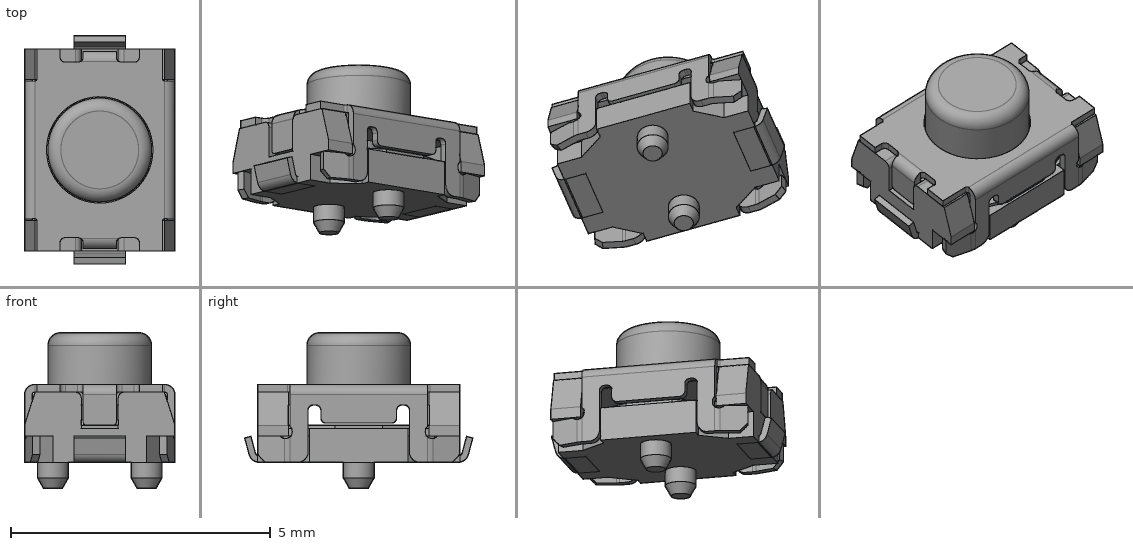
import cadquery as cq
import math


LENGTH = 4.4
WIDTH = 2.9
HALF_BODY = 1.95
COVER_TOP = 1.5
PLUNGER_TOP = 2.5
HALF_LENGTH = LENGTH / 2
HALF_WIDTH = WIDTH / 2

SHEET = 0.15
BEND_RADIUS = 0.2
PLUNGER_HOLE_DIA = 2.05
FLAP_HALF_LENGTH = 1.33
CORNER_HALF_WIDTH = 1.21
CORNER_FILLET = 0.04
NOTCH_HALF_WIDTH = 0.765
NOTCH_START = 1.69
SHEET_FILLET = 0.1
TAB_HALF_WIDTH = 0.325
TAB_FACE = 1.9
TAB_BOTTOM = 0.71
TAB_FILLET = 0.075
LEG_INNER = 0.975
LEG_FILLET = 0.2
LIP_HALF_LENGTH = 0.73
LIP_BOTTOM = 0.752
SLOT_TOP = 1.1
FOOT_ANGLE = 15.0
FOOT_BEND_RADIUS = 0.4
FOOT_CHAMFER = 0.15
RELIEF_RADIUS = 0.13
RELIEF_Y = 1.412
RELIEF_Z = 0.59

HOUSING_TOP = COVER_TOP - SHEET
HOUSING_TOP_HALF_WIDTH = 1.25
SLOPE_START = 0.71
POST_INNER = 1.355
FLOOR = 0.65
POST_BOTTOM = 0.5
SIDE_BLOCK_HALF_LENGTH = 0.95
END_BLOCK_HALF_WIDTH = 0.9
TAPER_END = 1.455
END_SLOT_HALF_WIDTH = 0.355
END_SLOT_FILLET = 0.115

PIN_DIA = 0.6
PIN_LENGTH = 0.5
PIN_X = 0.9
PIN_CHAMFER_WIDTH = 0.115
PIN_CHAMFER_HEIGHT = 0.202

PLUNGER_DIA = 2.0
PLUNGER_FILLET = 0.25
FLANGE_BOTTOM = SLOT_TOP
STEM_DIA = 0.8
STEM_BOTTOM = 0.815

PLATE_TOP = 0.715
PLATE_HALF_WIDTH = 1.4
PLATE_FLAT_HALF_LENGTH = 0.458
PLATE_CORNER_ANGLE = 22.5

TERMINAL_THICKNESS = 0.128
TERMINAL_WIDTH = 1.0
TERMINAL_HEIGHT = 0.5
TERMINAL_LEAN = 15.0
TERMINAL_BEND_RADIUS = 0.2
TERMINAL_DEPTH = 0.44


def box(x_min, x_max, y_min, y_max, z_min, z_max):
    size = (x_max - x_min, y_max - y_min, z_max - z_min)
    return cq.Workplane("XY").box(*size, centered=False).translate((x_min, y_min, z_min))


def centred_box(half_x, half_y, z_min, z_max):
    return box(-half_x, half_x, -half_y, half_y, z_min, z_max)


def box_selector(half_x, half_y, z):
    """Selects what is centred within the half sizes, at height z."""
    margin = 0.005
    low = (-half_x - margin, -half_y - margin, z - margin)
    high = (half_x + margin, half_y + margin, z + margin)
    return cq.selectors.BoxSelector(low, high)


def with_mirror_image(shape, plane):
    """The shape joined with its mirror image."""
    return shape.union(shape.mirror(plane))


def on_circle(centre, radius, degrees):
    angle = math.radians(degrees)
    return (centre[0] + radius * math.cos(angle), centre[1] + radius * math.sin(angle))


def terminal_profile():
    """Y-Z outline: a flat tail, a bend, and a blade that leans outwards."""
    lean = math.radians(TERMINAL_LEAN)
    inner_radius = TERMINAL_BEND_RADIUS - TERMINAL_THICKNESS
    blade = (TERMINAL_HEIGHT - TERMINAL_BEND_RADIUS + inner_radius * math.sin(lean)) / math.cos(lean)
    bend_y = HALF_LENGTH - TERMINAL_BEND_RADIUS * math.cos(lean) - blade * math.sin(lean)
    centre = (bend_y, TERMINAL_BEND_RADIUS)
    middle = -(90 + TERMINAL_LEAN) / 2
    outer_end = on_circle(centre, TERMINAL_BEND_RADIUS, -TERMINAL_LEAN)
    inner_end = on_circle(centre, inner_radius, -TERMINAL_LEAN)
    rise = (blade * math.sin(lean), blade * math.cos(lean))
    tail_y = HALF_BODY - TERMINAL_DEPTH
    return (
        cq.Workplane("YZ")
        .moveTo(tail_y, 0)
        .lineTo(bend_y, 0)
        .threePointArc(on_circle(centre, TERMINAL_BEND_RADIUS, middle), outer_end)
        .lineTo(outer_end[0] + rise[0], outer_end[1] + rise[1])
        .lineTo(inner_end[0] + rise[0], inner_end[1] + rise[1])
        .lineTo(*inner_end)
        .threePointArc(on_circle(centre, inner_radius, middle), (bend_y, TERMINAL_THICKNESS))
        .lineTo(tail_y, TERMINAL_THICKNESS)
        .close()
    )


def make_terminal(turn):
    blade = terminal_profile().extrude(TERMINAL_WIDTH / 2, both=True)
    return blade.rotate((0, 0, 0), (0, 0, 1), turn)


def end_posts():
    """End wall whose two outer sides lean inwards, split by the slot for the cover tab."""
    wall = (
        cq.Workplane("XZ", origin=(0, HALF_BODY, 0))
        .moveTo(-HALF_WIDTH, POST_BOTTOM)
        .lineTo(HALF_WIDTH, POST_BOTTOM)
        .lineTo(HALF_WIDTH, SLOPE_START)
        .lineTo(HOUSING_TOP_HALF_WIDTH, HOUSING_TOP)
        .lineTo(-HOUSING_TOP_HALF_WIDTH, HOUSING_TOP)
        .lineTo(-HALF_WIDTH, SLOPE_START)
        .close()
        .extrude(HALF_BODY - POST_INNER)
    )
    slot = box(-END_SLOT_HALF_WIDTH, END_SLOT_HALF_WIDTH, POST_INNER, HALF_BODY, FLOOR, HOUSING_TOP)
    mouth = box_selector(END_SLOT_HALF_WIDTH, HALF_BODY, HOUSING_TOP)
    return wall.cut(slot).edges("|Y").edges(mouth).fillet(END_SLOT_FILLET)


def housing_foundation():
    """Part below the corner posts: it tapers in plan from the floor width to the end blocks."""
    corner = [
        (0, 0),
        (HOUSING_TOP_HALF_WIDTH, 0),
        (HOUSING_TOP_HALF_WIDTH, SIDE_BLOCK_HALF_LENGTH),
        (END_BLOCK_HALF_WIDTH, TAPER_END),
        (END_BLOCK_HALF_WIDTH, HALF_BODY),
        (0, HALF_BODY),
    ]
    quarter = cq.Workplane("XY").polyline(corner).close().extrude(POST_BOTTOM)
    return with_mirror_image(with_mirror_image(quarter, "YZ"), "XZ")


def locating_pin(x):
    radius = PIN_DIA / 2
    profile = [
        (0, 0),
        (radius, 0),
        (radius, PIN_CHAMFER_HEIGHT - PIN_LENGTH),
        (radius - PIN_CHAMFER_WIDTH, -PIN_LENGTH),
        (0, -PIN_LENGTH),
    ]
    return cq.Workplane("XZ").polyline(profile).close().revolve(360, (0, 0), (0, 1)).translate((x, 0, 0))


def make_housing(terminals):
    floor = centred_box(HOUSING_TOP_HALF_WIDTH, POST_INNER, POST_BOTTOM, FLOOR)
    side_blocks = centred_box(HALF_WIDTH, SIDE_BLOCK_HALF_LENGTH, 0, FLOOR)
    body = housing_foundation().union(floor).union(side_blocks)
    body = body.union(with_mirror_image(end_posts(), "XZ"))
    for x in (-PIN_X, PIN_X):
        body = body.union(locating_pin(x))
    for terminal in terminals:
        body = body.cut(terminal)
    return body


def folded_strip(plane, half_span, bottom, half_width):
    """Flat top strip with both ends folded down, bent round the given span."""
    outer = (
        cq.Workplane(plane)
        .rect(2 * half_span, 2 * COVER_TOP)
        .extrude(half_width, both=True)
    )
    fold_axis = "|Y" if plane == "XZ" else "|X"
    outer = outer.edges(fold_axis).edges(">Z").fillet(BEND_RADIUS)
    inner = (
        cq.Workplane(plane)
        .rect(2 * (half_span - SHEET), 2 * HOUSING_TOP)
        .extrude(half_width, both=True)
    )
    inner = inner.edges(fold_axis).edges(">Z").fillet(BEND_RADIUS - SHEET)
    below = centred_box(HALF_LENGTH, HALF_LENGTH, -COVER_TOP, bottom)
    return outer.cut(inner).cut(below)


def top_plate():
    """Flat ends of the cover, with the notches that leave room for the end tabs."""
    plate = centred_box(CORNER_HALF_WIDTH, HALF_BODY, HOUSING_TOP, COVER_TOP)
    notch = box(-NOTCH_HALF_WIDTH, NOTCH_HALF_WIDTH, NOTCH_START, HALF_LENGTH, HOUSING_TOP, COVER_TOP)
    notch = notch.edges("|Z and <Y").fillet(SHEET_FILLET)
    return plate.cut(with_mirror_image(notch, "XZ"))


def corner_gusset():
    """Small concave fillet between a side flap end and the edge of the top plate."""
    x = CORNER_HALF_WIDTH
    y = FLAP_HALF_LENGTH
    r = CORNER_FILLET
    arc_middle = on_circle((x + r, y + r), r, 225)
    return (
        cq.Workplane("XY", origin=(0, 0, HOUSING_TOP))
        .moveTo(x, y)
        .lineTo(x + r, y)
        .threePointArc(arc_middle, (x, y + r))
        .close()
        .extrude(SHEET)
    )


def side_flaps():
    """Side flaps, each opened up into a hanging lip between two legs."""
    flaps = folded_strip("XZ", HALF_WIDTH, 0, FLAP_HALF_LENGTH)
    opening = (
        cq.Workplane("YZ")
        .moveTo(-LEG_INNER, 0)
        .lineTo(-LEG_INNER, SLOT_TOP)
        .lineTo(-LIP_HALF_LENGTH, SLOT_TOP)
        .lineTo(-LIP_HALF_LENGTH, LIP_BOTTOM)
        .lineTo(LIP_HALF_LENGTH, LIP_BOTTOM)
        .lineTo(LIP_HALF_LENGTH, SLOT_TOP)
        .lineTo(LEG_INNER, SLOT_TOP)
        .lineTo(LEG_INNER, 0)
        .close()
        .extrude(HALF_WIDTH, both=True)
    )
    opening = opening.edges("|X").edges("not <Z").fillet(SHEET_FILLET)
    flaps = flaps.cut(opening)
    leg_corners = box_selector(HALF_WIDTH, LEG_INNER, 0)
    return flaps.edges("|X").edges(leg_corners).fillet(LEG_FILLET)


def foot():
    """Foot beside a leg: bent inwards in plan, its lower outer corner chamfered."""
    centre = (HALF_WIDTH - FOOT_BEND_RADIUS, FLAP_HALF_LENGTH)
    inner_radius = FOOT_BEND_RADIUS - SHEET
    outer_bend = on_circle(centre, FOOT_BEND_RADIUS, FOOT_ANGLE)
    inner_bend = on_circle(centre, inner_radius, FOOT_ANGLE)
    inner_root = (HALF_WIDTH - SHEET, FLAP_HALF_LENGTH)
    bend = math.radians(FOOT_ANGLE)
    tip_outer = (outer_bend[0] - math.tan(bend) * (HALF_BODY - outer_bend[1]), HALF_BODY)
    tip_inner = (tip_outer[0] - SHEET * math.cos(bend), tip_outer[1] - SHEET * math.sin(bend))
    outline = (
        cq.Workplane("XY")
        .moveTo(HALF_WIDTH, FLAP_HALF_LENGTH)
        .threePointArc(on_circle(centre, FOOT_BEND_RADIUS, FOOT_ANGLE / 2), outer_bend)
        .lineTo(*tip_outer)
        .lineTo(*tip_inner)
        .lineTo(*inner_bend)
        .threePointArc(on_circle(centre, inner_radius, FOOT_ANGLE / 2), inner_root)
        .close()
    )
    return outline.extrude(POST_BOTTOM).faces(">Y").edges("<Z").chamfer(FOOT_CHAMFER)


def end_tabs():
    """Tabs folded down at both ends, flared where they leave the top plate."""
    flared_half_width = TAB_HALF_WIDTH + SHEET_FILLET
    tabs = folded_strip("YZ", TAB_FACE, TAB_BOTTOM, flared_half_width)
    tabs = tabs.cut(centred_box(flared_half_width, NOTCH_START, 0, COVER_TOP))
    trim = (
        cq.Workplane("XY")
        .moveTo(NOTCH_HALF_WIDTH, NOTCH_START)
        .lineTo(flared_half_width, NOTCH_START)
        .tangentArcPoint((TAB_HALF_WIDTH, TAB_FACE - SHEET), relative=False)
        .lineTo(TAB_HALF_WIDTH, HALF_LENGTH)
        .lineTo(NOTCH_HALF_WIDTH, HALF_LENGTH)
        .close()
        .extrude(COVER_TOP)
    )
    tabs = tabs.cut(with_mirror_image(with_mirror_image(trim, "YZ"), "XZ"))
    return tabs.edges("|Y").edges("<Z").fillet(TAB_FILLET)


def make_cover():
    cover = side_flaps().union(top_plate()).union(end_tabs())
    corner = corner_gusset().union(foot())
    cover = cover.union(with_mirror_image(with_mirror_image(corner, "YZ"), "XZ"))
    relief = (
        cq.Workplane("YZ")
        .pushPoints([(-RELIEF_Y, RELIEF_Z), (RELIEF_Y, RELIEF_Z)])
        .circle(RELIEF_RADIUS)
        .extrude(HALF_WIDTH, both=True)
    )
    plunger_hole = cq.Workplane("XY").circle(PLUNGER_HOLE_DIA / 2).extrude(COVER_TOP)
    hole_slice = plunger_hole.intersect(centred_box(HALF_WIDTH, HALF_BODY, HOUSING_TOP, COVER_TOP))
    return cover.cut(relief).cut(hole_slice)


def make_plunger():
    """Round button on a flange that is held under the cover, with a stem that presses downwards."""
    flange = centred_box(HOUSING_TOP_HALF_WIDTH, POST_INNER, FLANGE_BOTTOM, HOUSING_TOP)
    button = (
        cq.Workplane("XY", origin=(0, 0, FLANGE_BOTTOM))
        .circle(PLUNGER_DIA / 2)
        .extrude(PLUNGER_TOP - FLANGE_BOTTOM)
        .faces(">Z")
        .edges()
        .fillet(PLUNGER_FILLET)
    )
    stem = (
        cq.Workplane("XY", origin=(0, 0, STEM_BOTTOM))
        .circle(STEM_DIA / 2)
        .extrude(FLANGE_BOTTOM - STEM_BOTTOM)
    )
    return flange.union(button).union(stem)


def make_contact_plate():
    """Thin eight-sided plate lying on the housing floor."""
    taper = math.tan(math.radians(PLATE_CORNER_ANGLE)) * (POST_INNER - PLATE_FLAT_HALF_LENGTH)
    end_half_width = PLATE_HALF_WIDTH - taper
    half = [
        (0, -POST_INNER),
        (end_half_width, -POST_INNER),
        (PLATE_HALF_WIDTH, -PLATE_FLAT_HALF_LENGTH),
        (PLATE_HALF_WIDTH, PLATE_FLAT_HALF_LENGTH),
        (end_half_width, POST_INNER),
        (0, POST_INNER),
    ]
    plate = cq.Workplane("XY", origin=(0, 0, FLOOR)).polyline(half).close().extrude(PLATE_TOP - FLOOR)
    return with_mirror_image(plate, "YZ")


terminals = [make_terminal(turn) for turn in (0, 180)]
housing = make_housing(terminals)
cover = make_cover()
plunger = make_plunger()
contact_plate = make_contact_plate()

bodies = [housing, cover, plunger, contact_plate, *terminals]
result = cq.Compound.makeCompound([body.solids().val() for body in bodies])